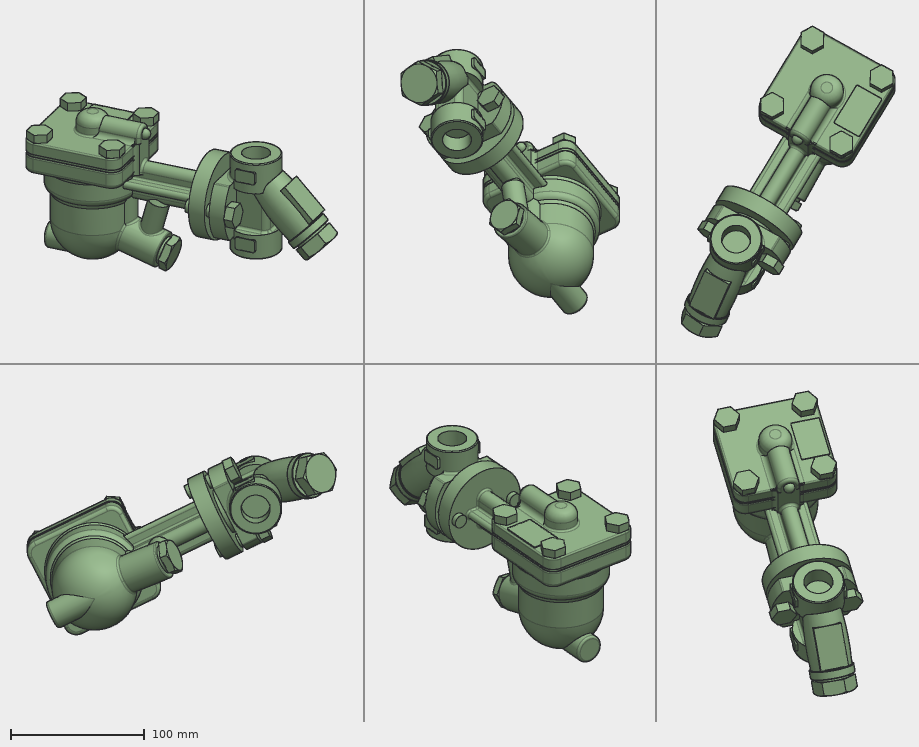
import cadquery as cq
import math


hexagon_chamfer_angle = 30.0

edge_margin = 0.1

vessel_radius = 32.0
collar_radius = 36.5
collar_flare = 1.0
collar_flare_bottom_z = 4.8
collar_flare_overlap = 0.3
dome_center_z = -39.5
shoulder_top_z = -8.8
shoulder_bottom_z = -17.3
shoulder_waist_radius = 33.2
shoulder_waist_z = -14.2

flange_back_x = -40.0
flange_front_x = 39.0
flange_width = 80.0
corner_radius = 9.5
flange_bottom_z = 7.5
flange_top_z = 21.4
gasket_top_z = 23.7
cover_top_z = 33.2
gasket_inset = 0.4
flange_bottom_fillet = 3.0
flange_edge_fillet = 1.2

cover_bolt_offset = 30.0
cover_bolt_across_flats = 17.0
cover_bolt_head_height = 6.8
plate_length = 34.4
plate_width = 22.0
plate_center_y = 27.0
plate_thickness = 0.8
plate_corner_radius = 1.0

dome_radius = 12.5
dome_flat_diameter = 8.73
dome_top_z = 48.5
dome_foot_fillet = 1.5
passage_radius = 8.5
passage_top_z = 46.4
passage_foot_fillet = 4.5
passage_end_x = 42.6
passage_end_fillet = 2.5
pad_bottom_z = 8.0
pad_pipe_fillet = 2.0
knob_radius = 8.73 / 2
knob_center_x = 43.2
knob_center_z = 38.7

pipe_start_x = 25.0
upright_half_height = 16.0
upright_half_width = 6.4
arm_half_height = 3.1
arm_half_width = 16.4
pipe_inner_fillet = 1.8
pipe_foot_fillet = 1.5

flange_disc_radius = 33.5
disc_back_x = 94.7
disc_front_x = 107.8
gap_boss_diameter = 35.0
valve_flange_back_x = 111.8
valve_flange_front_x = 124.4
valve_flange_half_height = 22.8
valve_flange_corner_fillet = 1.5
valve_flange_port_fillet = 2.0
joint_bolt_diameter = 10.5
joint_bolt_offset = 25.5
joint_bolt_back_x = 90.4
joint_nut_across_flats = 17.0
joint_nut_length = 7.2

valve_x = 135.0
valve_diameter = 39.0
valve_top_z = 42.1
valve_bottom_z = -37.6
port_inner_face_z = 17.4
port_chamfer = 0.8
port_bore_diameter = 21.7
port_bore_depth = 14.0
valve_core_front_x = 150.0
valve_core_half_width = 12.0
valve_core_fillet = 5.0
valve_core_end_fillet = 2.3
port_pad_width = 16.0
port_pad_height = 10.3
port_pad_center_depth = 11.5
port_pad_half_span = 20.0
port_pad_corner_radius = 1.5

strainer_angle = 45.0
strainer_end_x = 189.5
strainer_end_z = -25.6
strainer_cap_across_flats = 29.0
strainer_cap_turn = 19.0
strainer_cap_length = 10.8
strainer_neck_radius = 13.5
strainer_collar_start = 12.8
strainer_collar_end = 19.5
strainer_collar_radius = 17.0
strainer_collar_chamfer = 0.5
strainer_barrel_radius = 15.8
strainer_belly_radius = 16.4
strainer_belly_distance = 34.3
strainer_root_radius = 14.5
strainer_root_distance = 63.3
strainer_pad_start = 20.3
strainer_pad_end = 53.3
strainer_pad_half_width = 10.6
strainer_pad_height = 16.6

leg_angle = 15.0
leg_radius = 14.5
leg_length = 60.4
leg_end_fillet = 0.8
leg_seat_fillet = 2.0
plug_neck_radius = 11.0
plug_start = 63.0
plug_end = 69.5
plug_across_flats = 24.0
plug_turn = -6.0

tube_radius = 8.5
tube_leg_distance = 46.6
tube_top_z = -11.0
tube_top_radius = 6.2
tube_taper_length = 4.0
tube_foot_fillet = 1.5

column_radius = 10.0
column_top_z = -6.0
drain_diameter = 21.7
drain_end_x = -35.6
drain_end_fillet = 1.85


def along_x(x_start, x_end, radius, y=0.0, z=0.0):
    """Round bar parallel to X."""
    return cq.Workplane("YZ", origin=(x_start, y, z)).circle(radius).extrude(x_end - x_start)


def hexagon(workplane, across_flats, length):
    """Hexagonal prism with two corners on the local X axis of the workplane."""
    return workplane.polygon(6, across_flats / math.cos(math.pi / 6)).extrude(length)


def chamfered_hexagon(end_plane, across_flats, length):
    """Hexagonal prism starting at the origin of a plane, its corners there cut back by a cone."""
    flat_radius = across_flats / 2
    tip_radius = flat_radius / math.cos(math.pi / 6)
    cone_depth = (tip_radius - flat_radius) * math.tan(math.radians(hexagon_chamfer_angle))
    cone = cq.Solid.makeCone(
        flat_radius, tip_radius, cone_depth, end_plane.origin, end_plane.zDir
    )
    shank_start = end_plane.origin + end_plane.zDir * cone_depth
    shank = cq.Solid.makeCylinder(tip_radius, length - cone_depth, shank_start, end_plane.zDir)
    return hexagon(cq.Workplane(end_plane), across_flats, length).intersect(cq.Workplane(cone.fuse(shank)))


def square_plate(bottom_z, top_z, inset=0.0):
    """Plate with the rounded square outline shared by flange, gasket and cover."""
    length = flange_front_x - flange_back_x - 2 * inset
    return (
        cq.Workplane("XY", origin=((flange_front_x + flange_back_x) / 2, 0, bottom_z))
        .rect(length, flange_width - 2 * inset)
        .extrude(top_z - bottom_z)
        .edges("|Z")
        .fillet(corner_radius - inset)
    )


def make_vessel():
    profile = (
        cq.Workplane("XZ")
        .moveTo(0, flange_bottom_z + collar_flare_overlap)
        .lineTo(collar_radius + collar_flare, flange_bottom_z + collar_flare_overlap)
        .lineTo(collar_radius + collar_flare, flange_bottom_z)
        .lineTo(collar_radius, collar_flare_bottom_z)
        .lineTo(collar_radius, shoulder_top_z)
        .tangentArcPoint((shoulder_waist_radius, shoulder_waist_z), relative=False)
        .lineTo(vessel_radius, shoulder_bottom_z)
        .lineTo(vessel_radius, dome_center_z)
        .radiusArc((0, dome_center_z - vessel_radius), vessel_radius)
        .close()
    )
    return profile.revolve(360, (0, 0, 0), (0, 1, 0))


def make_flange_and_cover():
    flange = square_plate(flange_bottom_z, flange_top_z)
    flange = flange.faces("<Z").edges().fillet(flange_bottom_fillet)
    flange = flange.faces(">Z").edges().fillet(flange_edge_fillet)
    gasket = square_plate(flange_top_z, gasket_top_z, gasket_inset)
    cover = square_plate(gasket_top_z, cover_top_z).faces(">Z").edges().fillet(flange_edge_fillet)
    return flange.union(gasket).union(cover)


def make_cover_bolts():
    bolts = cq.Workplane("XY")
    for x in (-cover_bolt_offset, cover_bolt_offset):
        for y in (-cover_bolt_offset, cover_bolt_offset):
            head_plane = cq.Workplane(cq.Plane((x, y, cover_top_z), xDir=(0, 1, 0), normal=(0, 0, 1)))
            bolts = bolts.union(hexagon(head_plane, cover_bolt_across_flats, cover_bolt_head_height))
    return bolts


def make_name_plate():
    return (
        cq.Workplane("XY", origin=(0, plate_center_y, cover_top_z))
        .rect(plate_length, plate_width)
        .extrude(plate_thickness)
        .edges("|Z")
        .fillet(plate_corner_radius)
    )


def make_dome():
    flat_radius = dome_flat_diameter / 2
    crown_radius = dome_radius - flat_radius
    foot_radius = dome_radius + dome_foot_fillet
    profile = (
        cq.Workplane("XZ")
        .moveTo(0, cover_top_z)
        .lineTo(foot_radius, cover_top_z)
        .radiusArc((dome_radius, cover_top_z + dome_foot_fillet), dome_foot_fillet)
        .lineTo(dome_radius, dome_top_z - crown_radius)
        .radiusArc((flat_radius, dome_top_z), -crown_radius)
        .lineTo(0, dome_top_z)
        .close()
    )
    return profile.revolve(360, (0, 0, 0), (0, 1, 0))


def flared_foot(workplane, foot_level, fillet, length):
    """Strip one passage wide whose flanks flare out to a face at foot_level, extruded by length."""
    foot_half_width = passage_radius + fillet
    return (
        workplane.moveTo(-foot_half_width, foot_level)
        .radiusArc((-passage_radius, foot_level + fillet), -fillet)
        .lineTo(passage_radius, foot_level + fillet)
        .radiusArc((foot_half_width, foot_level), -fillet)
        .close()
        .extrude(length)
    )


def make_passage():
    arch_z = passage_top_z - passage_radius
    core = (
        cq.Workplane("YZ")
        .moveTo(-passage_radius, pad_bottom_z)
        .lineTo(-passage_radius, arch_z)
        .threePointArc((0, passage_top_z), (passage_radius, arch_z))
        .lineTo(passage_radius, pad_bottom_z)
        .close()
        .extrude(passage_end_x)
    )
    core = core.faces(">X").edges("%CIRCLE").fillet(passage_end_fillet)
    cover_foot = flared_foot(cq.Workplane("YZ"), cover_top_z, passage_foot_fillet, flange_front_x)
    pad_plane = cq.Workplane(cq.Plane((0, 0, flange_bottom_z), xDir=(0, -1, 0), normal=(0, 0, 1)))
    pad_foot_fillet = passage_end_x - flange_front_x
    pad_foot = flared_foot(pad_plane, flange_front_x, pad_foot_fillet, cover_top_z - flange_bottom_z)
    knob = cq.Workplane("XY").sphere(knob_radius).translate((knob_center_x, 0, knob_center_z))
    return core.union(cover_foot).union(pad_foot).union(knob)


def make_pipe():
    """Connection pipe together with the round flange at its end."""
    plane = cq.Workplane("YZ", origin=(pipe_start_x, 0, 0))
    length = disc_back_x - pipe_start_x
    upright = plane.slot2D(2 * upright_half_height, 2 * upright_half_width, 90).extrude(length)
    arms = plane.slot2D(2 * arm_half_width, 2 * arm_half_height).extrude(length)
    inner_corners = cq.selectors.BoxSelector(
        (pipe_start_x, -upright_half_width - edge_margin, -arm_half_height - edge_margin),
        (disc_back_x, upright_half_width + edge_margin, arm_half_height + edge_margin),
    )
    pipe = upright.union(arms).edges("|X").edges(inner_corners).fillet(pipe_inner_fillet)
    pipe = pipe.union(along_x(disc_back_x, disc_front_x, flange_disc_radius))
    foot = cq.selectors.BoxSelector(
        (disc_back_x - edge_margin, -arm_half_width - edge_margin, -arm_half_width - edge_margin),
        (disc_back_x + edge_margin, arm_half_width + edge_margin, arm_half_width + edge_margin),
        boundingbox=True,
    )
    return pipe.edges(foot).fillet(pipe_foot_fillet)


def make_joint():
    gap_boss = along_x(disc_front_x, valve_flange_back_x, gap_boss_diameter / 2)
    valve_flange = along_x(valve_flange_back_x, valve_flange_front_x, flange_disc_radius)
    band = cq.Workplane("XY").box(
        2 * valve_flange_front_x, 2 * flange_disc_radius, 2 * valve_flange_half_height
    )
    valve_flange = valve_flange.intersect(band).edges("|X").fillet(valve_flange_corner_fillet)
    joint = gap_boss.union(valve_flange)
    for y in (-joint_bolt_offset, joint_bolt_offset):
        bolt = along_x(joint_bolt_back_x, valve_flange_front_x, joint_bolt_diameter / 2, y)
        nut_plane = cq.Workplane("YZ", origin=(valve_flange_front_x, y, 0))
        joint = joint.union(bolt).union(hexagon(nut_plane, joint_nut_across_flats, joint_nut_length))
    return joint


def make_valve_body():
    port_radius = valve_diameter / 2
    upper_port = (
        cq.Workplane("XY", origin=(valve_x, 0, valve_top_z))
        .circle(port_radius)
        .extrude(port_inner_face_z - valve_top_z)
        .faces(">Z")
        .edges()
        .chamfer(port_chamfer)
    )
    lower_port = (
        cq.Workplane("XY", origin=(valve_x, 0, valve_bottom_z))
        .circle(port_radius)
        .extrude(-port_inner_face_z - valve_bottom_z)
        .faces("<Z")
        .edges()
        .chamfer(port_chamfer)
    )
    core_center_x = (valve_core_front_x + valve_flange_front_x) / 2
    core_length = valve_core_front_x - valve_flange_front_x
    core = (
        cq.Workplane("XY", origin=(core_center_x, 0, -port_inner_face_z))
        .rect(core_length, 2 * valve_core_half_width)
        .extrude(2 * port_inner_face_z)
        .edges("|Z and >X")
        .fillet(valve_core_fillet)
    )
    body = upper_port.union(lower_port).union(core)
    for z in (-port_inner_face_z, port_inner_face_z):
        core_end = cq.selectors.BoxSelector(
            (valve_flange_front_x - edge_margin, -valve_core_half_width - edge_margin, z - edge_margin),
            (valve_core_front_x + edge_margin, valve_core_half_width + edge_margin, z + edge_margin),
            boundingbox=True,
        )
        body = body.edges(core_end).fillet(valve_core_end_fillet)
    for z in (valve_top_z - port_pad_center_depth, valve_bottom_z + port_pad_center_depth):
        pad = (
            cq.Workplane("XZ", origin=(valve_x, port_pad_half_span, z))
            .rect(port_pad_width, port_pad_height)
            .extrude(2 * port_pad_half_span)
            .edges("|Y")
            .fillet(port_pad_corner_radius)
        )
        body = body.union(pad)
    return body


def make_port_bores():
    bore_radius = port_bore_diameter / 2
    upper_end = cq.Workplane("XY", origin=(valve_x, 0, valve_top_z))
    lower_end = cq.Workplane("XY", origin=(valve_x, 0, valve_bottom_z))
    upper = upper_end.circle(bore_radius).extrude(-port_bore_depth)
    lower = lower_end.circle(bore_radius).extrude(port_bore_depth)
    return upper.union(lower)


def make_strainer():
    slope = math.radians(strainer_angle)
    back_axis = (-math.cos(slope), 0, math.sin(slope))
    across_axis = (math.sin(slope), 0, math.cos(slope))
    end_plane = cq.Plane((strainer_end_x, 0, strainer_end_z), xDir=across_axis, normal=back_axis)

    turned_plane = end_plane.rotated((0, 0, strainer_cap_turn))
    cap = chamfered_hexagon(turned_plane, strainer_cap_across_flats, strainer_cap_length)
    neck = cq.Workplane(end_plane).circle(strainer_neck_radius).extrude(strainer_collar_end)
    collar = (
        cq.Workplane(end_plane)
        .workplane(offset=strainer_collar_start)
        .circle(strainer_collar_radius)
        .extrude(strainer_collar_end - strainer_collar_start)
        .edges()
        .chamfer(strainer_collar_chamfer)
    )
    barrel_plane = cq.Plane(end_plane.origin, xDir=across_axis, normal=(0, -1, 0))
    barrel = (
        cq.Workplane(barrel_plane)
        .moveTo(0, strainer_collar_end)
        .lineTo(strainer_barrel_radius, strainer_collar_end)
        .threePointArc(
            (strainer_belly_radius, strainer_belly_distance),
            (strainer_root_radius, strainer_root_distance),
        )
        .lineTo(0, strainer_root_distance)
        .close()
        .revolve(360, (0, 0, 0), (0, 1, 0))
    )
    pad = (
        cq.Workplane(end_plane)
        .workplane(offset=strainer_pad_start)
        .center(strainer_pad_height / 2, 0)
        .rect(strainer_pad_height, 2 * strainer_pad_half_width)
        .extrude(strainer_pad_end - strainer_pad_start)
    )
    return cap.union(neck).union(collar).union(barrel).union(pad)


def make_blow_down_leg():
    slope = math.radians(leg_angle)
    leg_axis = cq.Vector(math.cos(slope), 0, -math.sin(slope))
    tube_axis = cq.Vector(math.sin(slope), 0, math.cos(slope))
    dome_center = cq.Vector(0, 0, dome_center_z)
    leg_plane = cq.Plane(dome_center, xDir=(0, 1, 0), normal=leg_axis)

    leg = cq.Workplane(leg_plane).circle(leg_radius).extrude(leg_length).faces(">X").edges()
    leg = leg.fillet(leg_end_fillet)
    plug_neck = cq.Workplane(leg_plane).circle(plug_neck_radius).extrude(plug_start)
    plug_plane = cq.Plane(dome_center + leg_axis * plug_end, xDir=(0, 1, 0), normal=leg_axis * -1)
    plug = chamfered_hexagon(plug_plane.rotated((0, 0, plug_turn)), plug_across_flats, plug_end - plug_start)

    tube_base = dome_center + leg_axis * tube_leg_distance
    tube_length = (tube_top_z - tube_base.z) / math.cos(slope)
    tube_plane = cq.Plane(tube_base, xDir=leg_axis, normal=(0, -1, 0))
    tube = (
        cq.Workplane(tube_plane)
        .lineTo(tube_radius, 0)
        .lineTo(tube_radius, tube_length - tube_taper_length)
        .lineTo(tube_top_radius, tube_length)
        .lineTo(0, tube_length)
        .close()
        .revolve(360, (0, 0, 0), (0, 1, 0))
    )
    leg = leg.union(tube)
    mouth_half_length = (tube_radius + edge_margin) / math.cos(slope)
    mouth_center = tube_base + tube_axis * leg_radius
    mouth = cq.selectors.BoxSelector(
        (mouth_center.x - mouth_half_length, -mouth_half_length, mouth_center.z - mouth_half_length),
        (mouth_center.x + mouth_half_length, mouth_half_length, mouth_center.z + mouth_half_length),
        boundingbox=True,
    )
    return leg.edges(mouth).fillet(tube_foot_fillet).union(plug_neck).union(plug)


def make_column():
    center_x = collar_radius - column_radius
    height = column_top_z - dome_center_z
    return cq.Workplane("XY", origin=(center_x, 0, dome_center_z)).circle(column_radius).extrude(height)


def make_drain():
    center_z = dome_center_z - vessel_radius + drain_diameter / 2
    boss = along_x(drain_end_x, 0, drain_diameter / 2, 0, center_z)
    return boss.faces("<X").edges().fillet(drain_end_fillet)


def make_trap_body():
    """Vessel, column and blow-down leg with their junctions rounded."""
    body = make_vessel().union(make_column()).union(make_blow_down_leg())
    junction = cq.selectors.BoxSelector(
        (0, -leg_radius - edge_margin, dome_center_z - vessel_radius),
        (collar_radius + edge_margin, leg_radius + edge_margin, shoulder_bottom_z),
        boundingbox=True,
    )
    seat = cq.selectors.TypeSelector("BSPLINE")
    return body.edges(junction).edges(seat).fillet(leg_seat_fillet)


def make_valve():
    """Joint flanges and valve body, with the flange rounded where it meets the ports."""
    valve = make_joint().union(make_valve_body())
    port_radius = valve_diameter / 2
    for z in (-valve_flange_half_height, valve_flange_half_height):
        port_foot = cq.selectors.BoxSelector(
            (valve_flange_back_x, -port_radius, z - edge_margin),
            (valve_flange_front_x + edge_margin, port_radius, z + edge_margin),
            boundingbox=True,
        )
        valve = valve.edges(port_foot).edges("%CIRCLE").fillet(valve_flange_port_fillet)
    return valve


def make_passage_and_pipe():
    """Passage with its pad and the connection pipe, rounded where the pad meets the pipe."""
    parts = make_passage().union(make_pipe())
    pad_end = cq.selectors.BoxSelector(
        (passage_end_x - edge_margin, -passage_radius, 0),
        (passage_end_x + edge_margin, passage_radius, upright_half_height + edge_margin),
        boundingbox=True,
    )
    return parts.edges(pad_end).edges("%CIRCLE").fillet(pad_pipe_fillet)


result = (
    make_trap_body()
    .union(make_flange_and_cover())
    .union(make_cover_bolts())
    .union(make_name_plate())
    .union(make_dome())
    .union(make_passage_and_pipe())
    .union(make_valve())
    .union(make_strainer())
    .union(make_drain())
    .cut(make_port_bores())
)